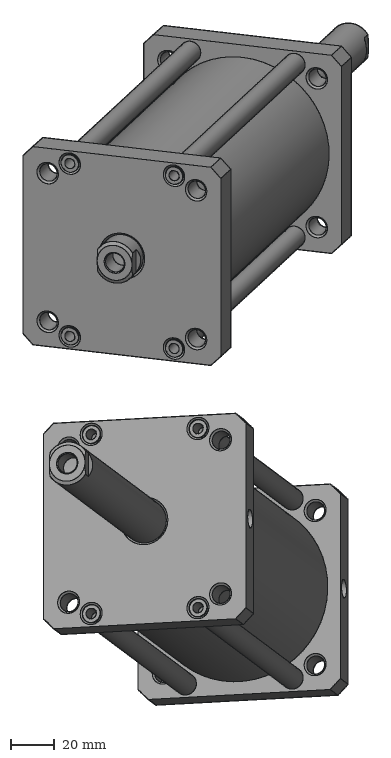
import cadquery as cq
import math

plate_side = 96.0
plate_thickness = 13.5
plate_chamfer = 5.0
tube_length = 151.5
tube_outer_diameter = 84.0
tube_bore_diameter = 80.0
rear_plate_start = plate_thickness + tube_length
rear_plate_end = rear_plate_start + plate_thickness

mount_hole_diameter = 8.5
mount_hole_mouth_diameter = 10.5
mount_hole_offset = 36.0
port_diameter = 8.5
port_from_inner_face = 6.0

tie_rod_diameter = 10.0
tie_rod_end_diameter = 8.5
tie_rod_hole_mouth_diameter = 10.5
tie_rod_x = 25.3
tie_rod_z = 41.8
tie_socket_diameter = 5.0
tie_socket_depth = 9.7
tie_socket_point_angle = 118.0

rod_diameter = 20.0
rod_hole_mouth_diameter = 22.0
rod_neck_diameter = 5.0
rod_shoulder_depth = 2.5
rod_length = 324.0
rod_front_overhang = 10.0
rod_end_chamfer_length = 0.8
rod_end_diameter = 17.0
flat_width = 17.0
flat_length = 5.8
rod_socket_diameter = 9.0
rod_socket_mouth_diameter = 10.0
rod_socket_depth = 10.5
rod_socket_point_angle = 170.0


def corner_places(x, z):
    """The four (x, z) places mirrored about both middle planes."""
    return [(x, z), (-x, z), (-x, -z), (x, -z)]


tie_rod_places = corner_places(tie_rod_x, tie_rod_z)
mount_hole_places = corner_places(mount_hole_offset, mount_hole_offset)


def cylinder_along_y(diameter, start, length, x=0.0, z=0.0):
    """Cylinder parallel to Y, from Y = start to Y = start + length."""
    solid = cq.Solid.makeCylinder(diameter / 2, length, cq.Vector(x, start, z), cq.Vector(0, 1, 0))
    return cq.Workplane(obj=solid)


def drilled_hole(diameter, depth, point_angle, mouth, direction, x=0.0, z=0.0):
    """Blind hole along +Y or -Y (direction 1 or -1) with a conical drill point."""
    radius = diameter / 2
    point_depth = radius / math.tan(math.radians(point_angle / 2))
    profile = (
        cq.Workplane("XY")
        .polyline([(0, 0), (radius, 0), (radius, direction * depth), (0, direction * (depth + point_depth))])
        .close()
    )
    return profile.revolve(360, (0, 0, 0), (0, 1, 0)).translate((x, mouth, z))


def countersink(mouth_diameter, hole_diameter, mouth, direction, x=0.0, z=0.0):
    """45 degree cone that narrows from the mouth of a hole down to the hole itself."""
    depth = (mouth_diameter - hole_diameter) / 2
    cone = cq.Solid.makeCone(
        mouth_diameter / 2, hole_diameter / 2, depth, cq.Vector(x, mouth, z), cq.Vector(0, direction, 0)
    )
    return cq.Workplane(obj=cone)


def make_plate(start, outer_face, inward):
    """Chamfered square end plate with rod, tie rod and mounting holes and a side port."""
    end = start + plate_thickness
    plate = (
        cq.Workplane("XY")
        .box(plate_side, plate_thickness, plate_side)
        .edges("|Y")
        .chamfer(plate_chamfer)
        .translate((0, start + plate_thickness / 2, 0))
    )
    plate = plate.cut(cylinder_along_y(rod_diameter, start, plate_thickness))
    plate = plate.cut(countersink(rod_hole_mouth_diameter, rod_diameter, outer_face, inward))
    for x, z in tie_rod_places:
        plate = plate.cut(cylinder_along_y(tie_rod_end_diameter, start, plate_thickness, x, z))
        plate = plate.cut(
            countersink(tie_rod_hole_mouth_diameter, tie_rod_end_diameter, outer_face, inward, x, z)
        )
    for x, z in mount_hole_places:
        plate = plate.cut(cylinder_along_y(mount_hole_diameter, start, plate_thickness, x, z))
        plate = plate.cut(countersink(mount_hole_mouth_diameter, mount_hole_diameter, start, 1, x, z))
        plate = plate.cut(countersink(mount_hole_mouth_diameter, mount_hole_diameter, end, -1, x, z))
    port_y = outer_face + inward * (plate_thickness - port_from_inner_face)
    port = cq.Solid.makeCylinder(
        port_diameter / 2, plate_side / 2, cq.Vector(-plate_side / 2, port_y, 0), cq.Vector(1, 0, 0)
    )
    return plate.cut(cq.Workplane(obj=port))


def make_tube():
    """Cylinder barrel held between the two plates."""
    barrel = cylinder_along_y(tube_outer_diameter, plate_thickness, tube_length)
    return barrel.cut(cylinder_along_y(tube_bore_diameter, plate_thickness, tube_length))


def make_tie_rod(x, z):
    """Tie rod shouldered between the plates; its thinner ends fill the plate holes and have drilled sockets."""
    rod = cylinder_along_y(tie_rod_end_diameter, 0, rear_plate_end, x, z)
    rod = rod.union(cylinder_along_y(tie_rod_diameter, plate_thickness, tube_length, x, z))
    for end, inward in ((0, 1), (rear_plate_end, -1)):
        rod = rod.cut(
            drilled_hole(tie_socket_diameter, tie_socket_depth, tie_socket_point_angle, end, inward, x, z)
        )
    return rod


def make_piston_rod():
    """Rod with a thin neck between its thick ends; each end has wrench flats and a drilled hole."""
    rod_start = -rod_front_overhang
    rod_end = rod_start + rod_length
    neck_start = rod_shoulder_depth
    neck_end = rear_plate_end - rod_shoulder_depth
    half_section = (
        cq.Workplane("XY")
        .polyline([
            (0, rod_start),
            (rod_end_diameter / 2, rod_start),
            (rod_diameter / 2, rod_start + rod_end_chamfer_length),
            (rod_diameter / 2, rod_end - rod_end_chamfer_length),
            (rod_end_diameter / 2, rod_end),
            (0, rod_end),
        ])
        .close()
    )
    rod = half_section.revolve(360, (0, 0, 0), (0, 1, 0))
    sleeve = cylinder_along_y(rod_diameter, neck_start, neck_end - neck_start)
    rod = rod.cut(sleeve.cut(cylinder_along_y(rod_neck_diameter, neck_start, neck_end - neck_start)))
    flat_depth = (rod_diameter - flat_width) / 2
    for end, inward in ((rod_start, 1), (rod_end, -1)):
        for side in (-1, 1):
            flat = (
                cq.Workplane("XY")
                .polyline([
                    (side * flat_width / 2, end),
                    (side * flat_width / 2, end + inward * flat_length),
                    (side * rod_diameter / 2, end + inward * (flat_length + flat_depth)),
                    (side * rod_diameter / 2, end),
                ])
                .close()
                .extrude(rod_diameter / 2, both=True)
            )
            rod = rod.cut(flat)
        rod = rod.cut(drilled_hole(rod_socket_diameter, rod_socket_depth, rod_socket_point_angle, end, inward))
        rod = rod.cut(countersink(rod_socket_mouth_diameter, rod_socket_diameter, end, inward))
    return rod


front_plate = make_plate(0, 0, 1)
rear_plate = make_plate(rear_plate_start, rear_plate_end, -1)
tube = make_tube()
piston_rod = make_piston_rod()
tie_rods = [make_tie_rod(x, z) for x, z in tie_rod_places]

result = cq.Compound.makeCompound([
    front_plate.val(),
    rear_plate.val(),
    tube.val(),
    piston_rod.val(),
    *[tie_rod.val() for tie_rod in tie_rods],
])